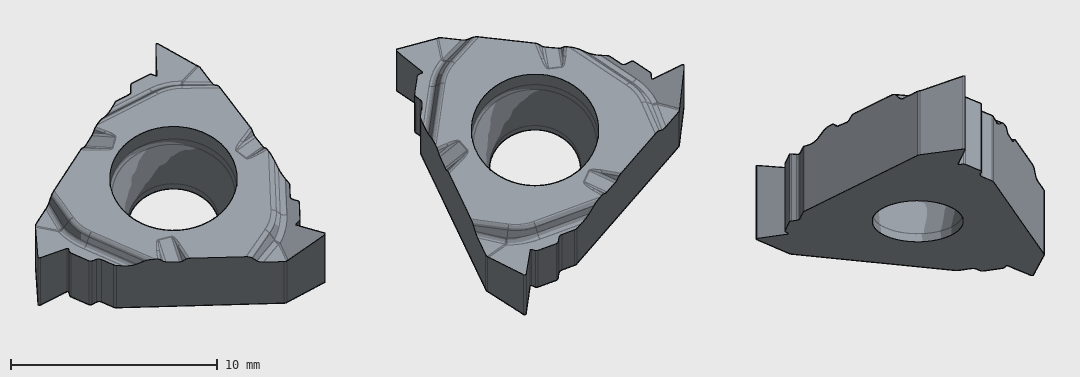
import cadquery as cq
import math

CORNERS = 3
CORNER_STEP = 360 / CORNERS
THICKNESS = 3.97
FACE_DISTANCE = 4.7625

HEEL_Y = -5.26
TIP = (-3.533, -7.29)
TOOTH_ROOT = (-2.675, -5.80)
CREST_Y = -6.045
CREST_START_X = -2.455
CREST_END_X = -1.33
LAND_Y = -5.62
STEP_ANGLE = 60

HEEL_RADIUS = 0.25
TIP_RADIUS = 0.08
ROOT_RADIUS = 0.05
CREST_RADIUS = 0.15
LAND_RADIUS = 0.25

HOLE_RADIUS = 4.4 / 2
BORE_RADIUS = 3.08
BORE_DEPTH = 1.04
BORE_FILLET = 0.47
SEAT_RADIUS = 3.5

RAKE_ANGLE = 15
RAKE_START_Y = -7.215
HEEL_FLOOR_DROP = 0.495
HEEL_FLOOR_ANGLE = 5
GROOVE_WALL_ANGLE = 52
GROOVE_WALL_Y = -4.808
GROOVE_HEEL_Y = -3.54
GROOVE_HEEL_ANGLE = 31.5
GROOVE_CORNER_RADIUS = 2.4
GROOVE_TOP_RADIUS = 0.335
GROOVE_FLOOR_RADIUS = 0.31
GROOVE_CUT_DEPTH = 1.5
GROOVE_FLOOR_TOP = 0.45

NOTCH_END = (-3.53, 0.53)
NOTCH_TURN = 15
NOTCH_RAMP_ANGLE = 11.4
NOTCH_FLOOR_WIDTH = 0.80
NOTCH_WALL_ANGLE = 45
NOTCH_FLOOR_RADIUS = 0.2
NOTCH_TOP_RADIUS = 0.2
NOTCH_TOOL_HEIGHT = 1.0
NOTCH_TOOL_LENGTH = 3.0
NOTCH_HALF_SPAN = 1.5

REACH = 20
OVERHANG = 1
NUDGE = 0.1


def tan(degrees):
    return math.tan(math.radians(degrees))


def sin(degrees):
    return math.sin(math.radians(degrees))


def cos(degrees):
    return math.cos(math.radians(degrees))


def turned(point, degrees):
    x, y = point
    return (x * cos(degrees) - y * sin(degrees), x * sin(degrees) + y * cos(degrees))


def rounding(before, corner, after, radius):
    """Start, middle and end of the arc that rounds one corner of an outline."""
    corner, before, after = cq.Vector(*corner), cq.Vector(*before), cq.Vector(*after)
    to_before = (before - corner).normalized()
    to_after = (after - corner).normalized()
    half_angle = to_before.getAngle(to_after) / 2
    setback = radius / math.tan(half_angle)
    bisector = (to_before + to_after).normalized()
    middle = corner + bisector * (radius / math.sin(half_angle) - radius)
    return corner + to_before * setback, middle, corner + to_after * setback


def rounded_outline(corners):
    """Closed wire through (point, radius) corners, each one rounded."""
    points = [point for point, _ in corners]
    arcs = [
        rounding(points[i - 1], point, points[(i + 1) % len(points)], radius)
        for i, (point, radius) in enumerate(corners)
    ]
    outline = cq.Workplane("XY").moveTo(arcs[0][0].x, arcs[0][0].y)
    for i, (_, middle, end) in enumerate(arcs):
        outline = outline.threePointArc((middle.x, middle.y), (end.x, end.y))
        if i + 1 < len(arcs):
            next_start = arcs[i + 1][0]
            outline = outline.lineTo(next_start.x, next_start.y)
    return outline.close()


def make_blank():
    """Plate with the full outline: per corner a tooth, a crest and a land."""
    step_run = (LAND_Y - CREST_Y) / tan(STEP_ANGLE)
    next_normal = CORNER_STEP - 180
    land_end_x = (FACE_DISTANCE - LAND_Y * sin(next_normal)) / cos(next_normal)
    tooth_corner = [
        ((-FACE_DISTANCE, HEEL_Y), HEEL_RADIUS),
        (TIP, TIP_RADIUS),
        (TOOTH_ROOT, ROOT_RADIUS),
        ((CREST_START_X, CREST_Y), CREST_RADIUS),
        ((CREST_END_X, CREST_Y), CREST_RADIUS),
        ((CREST_END_X + step_run, LAND_Y), LAND_RADIUS),
        ((land_end_x, LAND_Y), LAND_RADIUS),
    ]
    corners = [
        (turned(point, i * CORNER_STEP), radius)
        for i in range(CORNERS)
        for point, radius in tooth_corner
    ]
    return rounded_outline(corners).extrude(THICKNESS)


def make_screw_hole():
    """Cylindrical bore, concave fillet, then a convex seat running into the through hole."""
    fillet_center = BORE_RADIUS - BORE_FILLET
    angle = math.degrees(math.acos(
        (HOLE_RADIUS + SEAT_RADIUS - fillet_center) / (SEAT_RADIUS + BORE_FILLET)
    ))
    seat_center_r = HOLE_RADIUS + SEAT_RADIUS
    fillet_z = THICKNESS - BORE_DEPTH
    seat_center_z = fillet_z - (BORE_FILLET + SEAT_RADIUS) * sin(angle)

    def on_fillet(a):
        return (fillet_center + BORE_FILLET * cos(a), fillet_z - BORE_FILLET * sin(a))

    def on_seat(a):
        return (seat_center_r - SEAT_RADIUS * cos(a), seat_center_z + SEAT_RADIUS * sin(a))

    return (
        cq.Workplane("XZ")
        .lineTo(HOLE_RADIUS, 0)
        .lineTo(*on_seat(0))
        .threePointArc(on_seat(angle / 2), on_seat(angle))
        .threePointArc(on_fillet(angle / 2), on_fillet(0))
        .lineTo(BORE_RADIUS, THICKNESS)
        .lineTo(0, THICKNESS)
        .close()
        .revolve(360, (0, 0), (0, 1))
    )


def make_groove_cutter():
    """Space above the two groove floors and outside the raised middle, at the -Y corner."""
    heel_run = REACH / 4
    heel_slope = tan(GROOVE_HEEL_ANGLE)
    bend_x = -FACE_DISTANCE + (GROOVE_HEEL_Y - GROOVE_WALL_Y) / heel_slope
    bend = (bend_x, GROOVE_WALL_Y)
    heel_far = (bend_x - heel_run, GROOVE_WALL_Y + heel_run * heel_slope)
    crest_far = (bend_x + REACH, GROOVE_WALL_Y)
    arc_start, arc_middle, arc_end = rounding(heel_far, bend, crest_far, GROOVE_CORNER_RADIUS)
    island = (
        cq.Workplane("XY", origin=(0, 0, THICKNESS))
        .moveTo(*heel_far)
        .lineTo(arc_start.x, arc_start.y)
        .threePointArc((arc_middle.x, arc_middle.y), (arc_end.x, arc_end.y))
        .lineTo(*crest_far)
        .lineTo(crest_far[0], REACH)
        .lineTo(heel_far[0], REACH)
        .close()
        .extrude(-GROOVE_CUT_DEPTH, taper=GROOVE_WALL_ANGLE - 90)
        .faces(">Z").edges("not (>Y or <X or >X)").fillet(GROOVE_TOP_RADIUS)
    )
    rake_fall = tan(RAKE_ANGLE)
    above_rake = (
        cq.Workplane("YZ")
        .moveTo(RAKE_START_Y - OVERHANG, THICKNESS + OVERHANG * rake_fall)
        .lineTo(0, THICKNESS + RAKE_START_Y * rake_fall)
        .lineTo(0, THICKNESS + OVERHANG * rake_fall)
        .close()
        .extrude(REACH / 2, both=True)
    )
    outside_x = -FACE_DISTANCE - OVERHANG
    inside_x = outside_x + REACH / 2
    floor_z = THICKNESS - HEEL_FLOOR_DROP
    floor_fall = tan(HEEL_FLOOR_ANGLE)
    above_heel = (
        cq.Workplane("XZ")
        .moveTo(outside_x, floor_z + OVERHANG * floor_fall)
        .lineTo(inside_x, floor_z - (inside_x + FACE_DISTANCE) * floor_fall)
        .lineTo(inside_x, THICKNESS)
        .lineTo(outside_x, THICKNESS)
        .close()
        .extrude(REACH / 2, both=True)
    )
    floor_edges = cq.selectors.BoxSelector(
        (outside_x + NUDGE, -REACH, THICKNESS - GROOVE_CUT_DEPTH),
        (REACH, REACH, THICKNESS - GROOVE_FLOOR_TOP),
    )
    cutter = above_rake.intersect(above_heel).cut(island)
    return cutter.edges(floor_edges).fillet(GROOVE_FLOOR_RADIUS)


def make_notch_cutter():
    """Trapezoid channel along X, tilted to the ramp and turned onto the notch axis."""
    half = NOTCH_FLOOR_WIDTH / 2
    spread = NOTCH_TOOL_HEIGHT / tan(NOTCH_WALL_ANGLE)
    top_half = half + spread
    return (
        cq.Workplane("YZ")
        .moveTo(-half, 0)
        .lineTo(half, 0)
        .lineTo(top_half, NOTCH_TOOL_HEIGHT)
        .lineTo(-top_half, NOTCH_TOOL_HEIGHT)
        .close()
        .extrude(NOTCH_TOOL_LENGTH, both=True)
        .edges("|X and <Z").fillet(NOTCH_FLOOR_RADIUS)
        .rotate((0, 0, 0), (0, 1, 0), -NOTCH_RAMP_ANGLE)
        .rotate((0, 0, 0), (0, 0, 1), NOTCH_TURN)
        .translate((*NOTCH_END, THICKNESS))
    )


def cut_notch(body):
    """Cut the notch in the -X side face and round the top edges of its two side walls."""
    end_x = NOTCH_END[0]
    wall_edges = cq.selectors.BoxSelector(
        (-FACE_DISTANCE + NUDGE, -NOTCH_HALF_SPAN, THICKNESS - NUDGE),
        (end_x - NUDGE, NOTCH_HALF_SPAN, THICKNESS + NUDGE),
    )
    body = body.cut(make_notch_cutter())
    return body.faces(">Z").edges(wall_edges).fillet(NOTCH_TOP_RADIUS)


result = make_blank().cut(make_screw_hole())
groove_cutter = make_groove_cutter()
for _ in range(CORNERS):
    result = cut_notch(result.cut(groove_cutter))
    result = result.rotate((0, 0, 0), (0, 0, 1), CORNER_STEP)